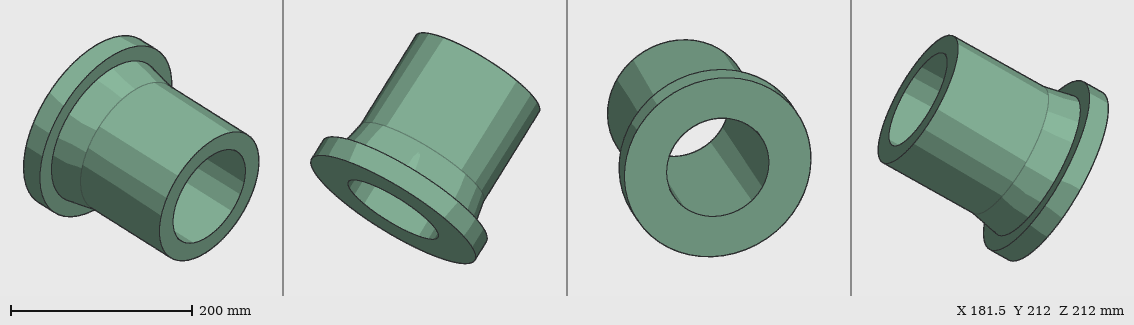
import cadquery as cq

total_length = 181.5
flange_diameter = 212.0
flange_thickness = 25.0
pipe_diameter = 160.0
bore_diameter = 116.2

neck_length = 37.0
neck_base_diameter = 175.0

flange_radius = flange_diameter / 2
neck_base_radius = neck_base_diameter / 2
pipe_radius = pipe_diameter / 2
bore_radius = bore_diameter / 2
neck_end = flange_thickness + neck_length


def wall_section():
    """Half section of the wall in the XZ plane, with Z as the radius."""
    return (
        cq.Workplane("XZ")
        .moveTo(0, bore_radius)
        .lineTo(0, flange_radius)
        .lineTo(flange_thickness, flange_radius)
        .lineTo(flange_thickness, neck_base_radius)
        .lineTo(neck_end, pipe_radius)
        .lineTo(total_length, pipe_radius)
        .lineTo(total_length, bore_radius)
        .close()
    )


result = wall_section().revolve(axisStart=(0, 0, 0), axisEnd=(1, 0, 0))